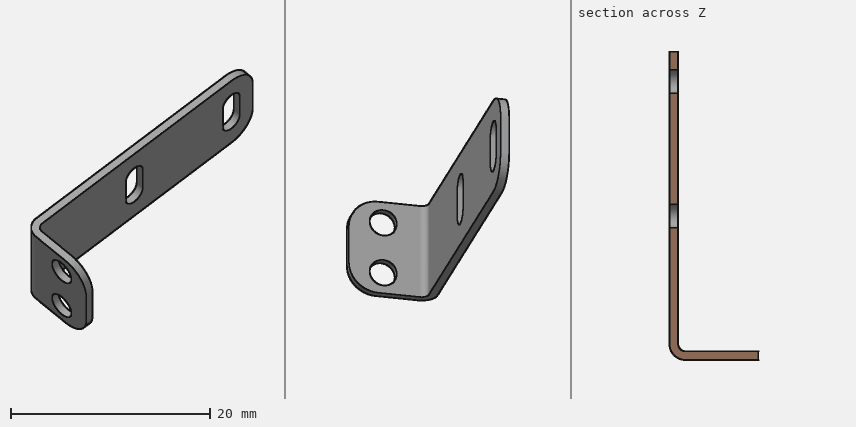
import cadquery as cq

flange_reach = 9.0
length = 31.0
height = 10.0
thickness = 0.9
bend_inner_radius = 0.75
bend_outer_radius = bend_inner_radius + thickness
corner_radius = 3.0

hole_diameter = 2.8
hole_spacing = 5.5
hole_x = 5.42

slot_width = 2.32
slot_length = 5.4
slot_spacing = 13.5
end_slot_y = length - corner_radius
slot_positions = (end_slot_y, end_slot_y - slot_spacing)

middle_z = height / 2


def bent_strip():
    """L-shaped strip: short flange along X, long leg along Y."""
    strip = (
        cq.Workplane("XY")
        .polyline([
            (0, 0),
            (flange_reach, 0),
            (flange_reach, thickness),
            (thickness, thickness),
            (thickness, length),
            (0, length),
        ])
        .close()
        .extrude(height)
    )
    inner_edge = cq.selectors.NearestToPointSelector((thickness, thickness, middle_z))
    outer_edge = cq.selectors.NearestToPointSelector((0, 0, middle_z))
    strip = strip.edges("|Z").edges(inner_edge).fillet(bend_inner_radius)
    return strip.edges("|Z").edges(outer_edge).fillet(bend_outer_radius)


def round_free_corners(strip):
    """Round the upper and lower corners at both free ends."""
    strip = strip.faces(">X").edges("|Y").fillet(corner_radius)
    return strip.faces(">Y").edges("|X").fillet(corner_radius)


def flange_holes():
    """Two round cutters, one above the other, through the short flange."""
    offset = hole_spacing / 2
    return (
        cq.Workplane("XZ")
        .pushPoints([(hole_x, middle_z - offset), (hole_x, middle_z + offset)])
        .circle(hole_diameter / 2)
        .extrude(-thickness)
    )


def leg_slots():
    """Two upright slot cutters through the long leg."""
    return (
        cq.Workplane("YZ")
        .pushPoints([(y, middle_z) for y in slot_positions])
        .slot2D(slot_length, slot_width, 90)
        .extrude(thickness)
    )


result = round_free_corners(bent_strip()).cut(flange_holes()).cut(leg_slots())